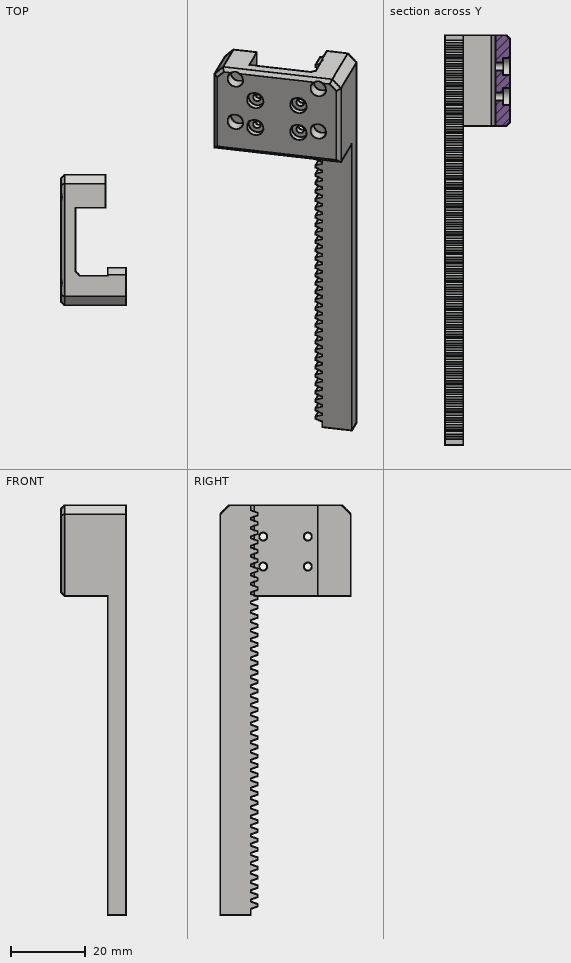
import cadquery as cq
import math

total_height = 109.7
total_depth = 17.4
total_width = 35.0

head_height = 24.3
wall_thickness = 4.0
short_arm_depth = 12.0
short_arm_width = 8.9
rack_arm_width = 8.0
corner_chamfer = 2.4
face_chamfer = 1.01
inner_corner_chamfer = 1.1

rack_thickness = 4.9
rack_tip_width = 10.1
tooth_depth = 1.9
tooth_tip_land = 0.7
pressure_angle = 20.0
tooth_count = 43
first_tooth_z = 2.6
last_tooth_z = 107.2

pin_diameter = 4.3
pin_depth = 3.6
pin_spacing_y = 22.9
pin_spacing_z = 12.6
pin_top_offset = 2.9
screw_diameter = 2.1
counterbore_diameter = 4.5
counterbore_depth = 1.9
screw_spacing_y = 12.0
screw_spacing_z = 8.0
screw_top_offset = 8.4

head_bottom = total_height - head_height
head_middle_y = total_width / 2
rack_front_x = total_depth - rack_thickness
rack_root_width = rack_tip_width - tooth_depth
tooth_pitch = (last_tooth_z - first_tooth_z) / (tooth_count - 1)


def make_head():
    """C-shaped head with chamfered top corners and mounting face."""
    short_arm_y = total_width - short_arm_width
    profile = [
        (0, 0),
        (total_depth, 0),
        (total_depth, rack_arm_width),
        (wall_thickness + inner_corner_chamfer, rack_arm_width),
        (wall_thickness, rack_arm_width + inner_corner_chamfer),
        (wall_thickness, short_arm_y),
        (short_arm_depth, short_arm_y),
        (short_arm_depth, total_width),
        (0, total_width),
    ]
    base = cq.Workplane("XY").workplane(offset=head_bottom)
    head = base.polyline(profile).close().extrude(head_height)
    for side in (-1, 1):
        head = head.cut(corner_wedge(side))
    return head.faces("<X").chamfer(face_chamfer)


def corner_wedge(side):
    """Material beyond the 45 degree top corner on the -Y (-1) or +Y (+1) side of the head."""
    edge_y = head_middle_y + side * total_width / 2
    inner_y = edge_y - side * corner_chamfer
    corner = [
        (inner_y, total_height),
        (edge_y, total_height),
        (edge_y, total_height - corner_chamfer),
    ]
    return cq.Workplane("YZ").polyline(corner).close().extrude(total_depth)


def make_rack():
    """Full-height bar with straight-flanked teeth on its +Y side."""
    half_tip = tooth_tip_land / 2
    half_base = half_tip + tooth_depth * math.tan(math.radians(pressure_angle))
    outline = [(0, 0), (rack_root_width, 0)]
    for index in range(tooth_count):
        centre_z = first_tooth_z + index * tooth_pitch
        outline += [
            (rack_root_width, centre_z - half_base),
            (rack_tip_width, centre_z - half_tip),
            (rack_tip_width, centre_z + half_tip),
            (rack_root_width, centre_z + half_base),
        ]
    outline += [(rack_root_width, total_height), (0, total_height)]
    base = cq.Workplane("YZ").workplane(offset=rack_front_x)
    rack = base.polyline(outline).close().extrude(rack_thickness)
    return rack.cut(corner_wedge(-1))


def face_holes(diameter, depth, spacing_y, spacing_z, top_offset):
    """Two-by-two pattern of cylinders entering the mounting face."""
    middle_z = total_height - top_offset - spacing_z / 2
    return (
        cq.Workplane("YZ", origin=(0, head_middle_y, middle_z))
        .rarray(spacing_y, spacing_z, 2, 2)
        .circle(diameter / 2)
        .extrude(depth)
    )


pins = face_holes(pin_diameter, pin_depth, pin_spacing_y, pin_spacing_z, pin_top_offset)
screw_pattern = (screw_spacing_y, screw_spacing_z, screw_top_offset)
counterbores = face_holes(counterbore_diameter, counterbore_depth, *screw_pattern)
screws = face_holes(screw_diameter, wall_thickness, *screw_pattern)

result = make_head().union(make_rack()).cut(pins).cut(counterbores).cut(screws)